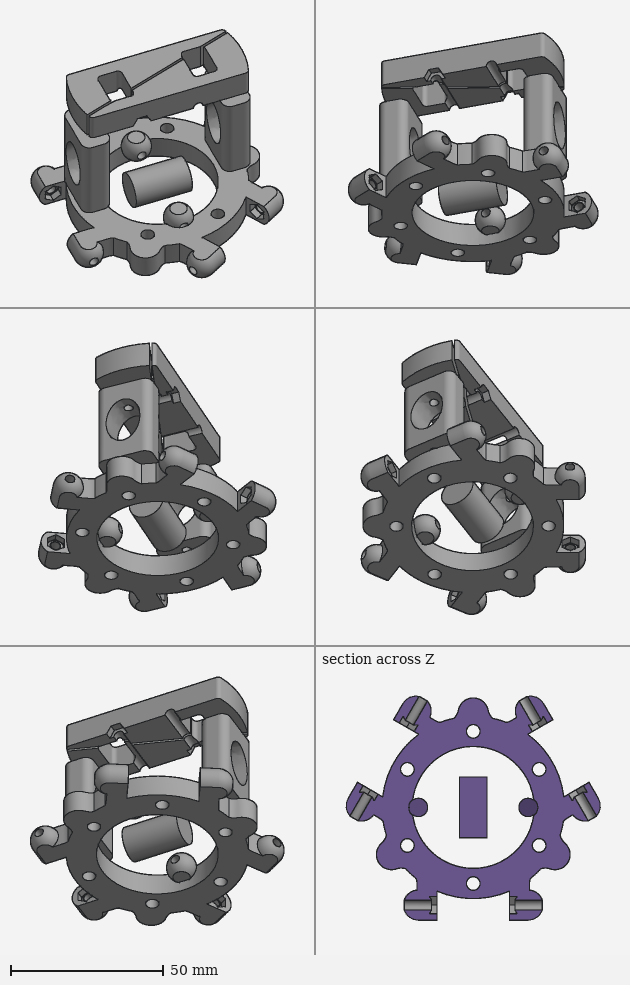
import cadquery as cq
import math

ring_outer_radius = 30.0
ring_bore_diameter = 40.0
ring_thickness = 8.2
sector_count = 3
sector_angle = 360.0 / sector_count

ring_hole_diameter = 4.4
ring_hole_count = 6
ring_hole_circle_radius = 25.0

lobe_radius = 5.0
lobe_center_distance = 31.0
scallop_radius = 5.1

knuckle_radius = 5.0
knuckle_x = 18.0
knuckle_y = -32.1
knuckle_z = ring_thickness / 2
arm_inner_x = 11.85
arm_outer_x = 18.5
arm_root_y = -22.0

bolt_hole_diameter = 3.1
nut_side_count = 6
nut_across_flats = 5.6
nut_corner_diameter = nut_across_flats / math.cos(math.pi / nut_side_count)
nut_pocket_depth = 2.5
nut_seat_height = 0.7
nut_seat_top_diameter = 3.5

loose_ball_x = 18.0
loose_z = 8.0
roller_diameter = 12.0
roller_length = 20.0

post_width = 19.2
post_depth = 10.0
post_height = 30.0
post_bottom_z = 13.0
post_center_y = 25.0
post_corner_radius = 3.0
post_window_width = 12.0
post_window_height = 16.8
post_hole_diameter = 3.0

bar_width = 21.8
bar_end_radius = 30.0
bar_top_z = 58.0
bar_height = 9.25
bar_bottom_z = bar_top_z - bar_height
bar_corner_radius = 1.5
bar_window_width = 12.5
bar_window_length = 8.5
bar_window_center_y = 14.85
bar_window_corner_radius = 1.5
bar_bolt_hole_diameter = 3.5
bar_bolt_y = 10.0
bar_nut_pocket_depth = 2.5
kerf_width = 0.85
kerf_angle = 17.9

cutter_size = 4 * ring_outer_radius


def x_cylinder(diameter, start_x, length, y, z):
    """Cylinder along +X that starts at start_x."""
    axis_start = cq.Workplane("YZ", origin=(start_x, y, z))
    return axis_start.circle(diameter / 2).extrude(length)


def slab(bottom_z, height):
    """Wide flat block that keeps only the given range of heights."""
    block = cq.Workplane("XY", origin=(0, 0, bottom_z))
    return block.rect(cutter_size, cutter_size).extrude(height)


def flattened_ball(x, y, z):
    """Sphere with its top and bottom cut flat to the ring thickness."""
    ball = cq.Workplane("XY").sphere(knuckle_radius).translate((x, y, z))
    return ball.intersect(slab(z - ring_thickness / 2, ring_thickness))


def around_sectors(shape):
    """Union of the shape turned into each of the equal sectors of the ring."""
    merged = shape
    for index in range(1, sector_count):
        merged = merged.union(shape.rotate((0, 0, 0), (0, 0, 1), index * sector_angle))
    return merged


def sector_mirror(shape):
    """Shape together with its mirror image across the YZ plane."""
    return shape.union(shape.mirror("YZ"))


def make_arm():
    """Right arm at the -Y end: square root and a rounded knuckle with a ball tip."""
    root = (
        cq.Workplane("XY")
        .moveTo(arm_inner_x, knuckle_y)
        .lineTo(arm_outer_x, knuckle_y)
        .lineTo(arm_outer_x, arm_root_y)
        .lineTo(arm_inner_x, arm_root_y)
        .close()
        .extrude(ring_thickness)
    )
    knuckle = (
        cq.Workplane("XY")
        .moveTo(arm_inner_x, 0)
        .lineTo(arm_inner_x, knuckle_radius)
        .lineTo(knuckle_x, knuckle_radius)
        .radiusArc((knuckle_x + knuckle_radius, 0), knuckle_radius)
        .close()
        .revolve(360, (0, 0, 0), (1, 0, 0))
        .translate((0, knuckle_y, knuckle_z))
        .intersect(slab(0, ring_thickness))
    )
    return root.union(knuckle)


def make_arm_bolt_cut():
    """Bolt hole along the arm with a nut pocket in its flat end."""
    hole_length = knuckle_x + 2 * knuckle_radius - arm_inner_x
    hole = x_cylinder(bolt_hole_diameter, arm_inner_x, hole_length, knuckle_y, knuckle_z)
    pocket = (
        cq.Workplane("YZ", origin=(arm_inner_x, knuckle_y, knuckle_z))
        .transformed(rotate=(0, 0, 90))
        .polygon(nut_side_count, nut_corner_diameter)
        .extrude(nut_pocket_depth)
    )
    seat_cone = (
        cq.Workplane("YZ", origin=(arm_inner_x + nut_pocket_depth, knuckle_y, knuckle_z))
        .circle(nut_across_flats / 2)
        .workplane(offset=-nut_seat_height)
        .circle(nut_seat_top_diameter / 2)
        .loft()
    )
    return pocket.cut(seat_cone).union(hole)


lobe_angle = math.radians(90 - sector_angle)
lobe_x = lobe_center_distance * math.cos(lobe_angle)
lobe_y = lobe_center_distance * math.sin(lobe_angle)
scallop_x = arm_outer_x + scallop_radius
scallop_reach = lobe_radius + scallop_radius
scallop_y = lobe_y - math.sqrt(scallop_reach**2 - (lobe_x - scallop_x) ** 2)


def make_lobe_web():
    """Web that joins the -Y right arm to half of its neighbouring lobe."""
    return (
        cq.Workplane("XY")
        .moveTo(arm_outer_x, arm_root_y)
        .lineTo(arm_outer_x, scallop_y)
        .lineTo(scallop_x, scallop_y)
        .lineTo(lobe_x, lobe_y)
        .close()
        .extrude(ring_thickness)
    )


def make_ring():
    lobe = cq.Workplane("XY").center(lobe_x, lobe_y).circle(lobe_radius).extrude(ring_thickness)
    scallop = cq.Workplane("XY").center(scallop_x, scallop_y).circle(scallop_radius).extrude(ring_thickness)
    webs = around_sectors(sector_mirror(make_lobe_web()).union(lobe))
    webs = webs.cut(around_sectors(sector_mirror(scallop)))
    disc = cq.Workplane("XY").circle(ring_outer_radius).extrude(ring_thickness)
    body = disc.union(webs)
    drilled_arm = make_arm().cut(make_arm_bolt_cut())
    body = body.union(around_sectors(sector_mirror(drilled_arm)))
    bore = cq.Workplane("XY").circle(ring_bore_diameter / 2).extrude(ring_thickness)
    body = body.cut(bore)
    holes = (
        cq.Workplane("XY")
        .polarArray(ring_hole_circle_radius, 90, 360, ring_hole_count)
        .circle(ring_hole_diameter / 2)
        .extrude(ring_thickness)
    )
    body = body.cut(holes)
    seat = flattened_ball(loose_ball_x, 0, loose_z)
    return body.cut(sector_mirror(seat))


def make_loose_ball(x):
    """Ball drilled along X that sits partly sunk in the ring."""
    ball = flattened_ball(x, 0, loose_z)
    return ball.cut(x_cylinder(bolt_hole_diameter, x - knuckle_radius, 2 * knuckle_radius, 0, loose_z))


def make_roller():
    roller = cq.Workplane("XZ", origin=(0, roller_length / 2, loose_z))
    return roller.circle(roller_diameter / 2).extrude(roller_length)


def make_post(y):
    """Upright rounded post with an oval window along Y and a hole down its middle."""
    post = (
        cq.Workplane("XY", origin=(0, y, post_bottom_z))
        .rect(post_width, post_depth)
        .extrude(post_height)
        .edges("|Z")
        .fillet(post_corner_radius)
    )
    window = (
        cq.Workplane("XZ", origin=(0, y + post_depth / 2, post_bottom_z + post_height / 2))
        .ellipse(post_window_width / 2, post_window_height / 2)
        .extrude(post_depth)
    )
    hole_start = cq.Workplane("XY", origin=(0, y, post_bottom_z))
    hole = hole_start.circle(post_hole_diameter / 2).extrude(post_height)
    return post.cut(window).cut(hole)


def make_bar_blank():
    """Uncut bar: a strip across a disc, with windows and cross bolt holes."""
    blank = cq.Workplane("XY", origin=(0, 0, bar_bottom_z)).circle(bar_end_radius).extrude(bar_height)
    strip = (
        cq.Workplane("XY", origin=(0, 0, bar_bottom_z))
        .rect(bar_width, cutter_size)
        .extrude(bar_height)
    )
    blank = blank.intersect(strip).edges("|Z").fillet(bar_corner_radius)
    windows = (
        cq.Workplane("XY", origin=(0, 0, bar_bottom_z))
        .pushPoints([(0, bar_window_center_y), (0, -bar_window_center_y)])
        .rect(bar_window_width, bar_window_length)
        .extrude(bar_height)
        .edges("|Z")
        .fillet(bar_window_corner_radius)
    )
    blank = blank.cut(windows)
    for side in (1, -1):
        bolt_y = side * bar_bolt_y
        blank = blank.cut(
            x_cylinder(bar_bolt_hole_diameter, -bar_width / 2, bar_width, bolt_y, bar_bottom_z)
        )
        nut_pocket = (
            cq.Workplane("YZ", origin=(-side * bar_width / 2, bolt_y, bar_bottom_z))
            .polygon(nut_side_count, nut_corner_diameter)
            .extrude(side * bar_nut_pocket_depth)
        )
        blank = blank.cut(nut_pocket)
    return blank


def make_bar_half(side):
    """Half of the bar on one side of the slanted kerf; side is -1 or 1 along X."""
    keep = (
        cq.Workplane("XY", origin=(0, 0, bar_bottom_z))
        .center(side * (kerf_width + cutter_size) / 2, 0)
        .rect(cutter_size, cutter_size)
        .extrude(bar_height)
        .rotate((0, 0, 0), (0, 0, 1), kerf_angle)
    )
    return make_bar_blank().intersect(keep)


ring = make_ring()
loose_balls = [make_loose_ball(side * loose_ball_x) for side in (-1, 1)]
roller = make_roller()
posts = [make_post(side * post_center_y) for side in (-1, 1)]
bar_halves = [make_bar_half(side) for side in (-1, 1)]

bodies = [ring, *loose_balls, roller, *posts, *bar_halves]
result = cq.Compound.makeCompound([solid for body in bodies for solid in body.solids().vals()])